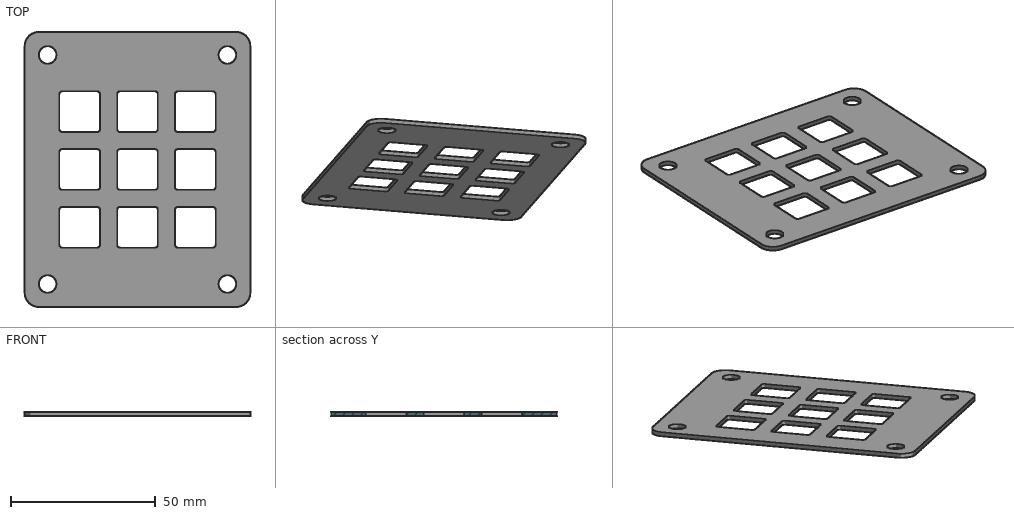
import cadquery as cq

plate_width = 78.0
plate_length = 95.0
plate_thickness = 1.5
plate_corner_radius = 5.0

hole_diameter = 6.0
hole_inset = 8.0

keys_per_side = 3
key_pitch = 19.95
key_opening = 14.0
key_corner_radius = 0.95


def make_plate():
    """Flat plate with rounded corners, resting on Z = 0."""
    plate = cq.Workplane("XY").box(
        plate_width, plate_length, plate_thickness, centered=(True, True, False)
    )
    return plate.edges("|Z").fillet(plate_corner_radius)


def make_mounting_holes():
    """Through-hole cutters at the four corners."""
    spacing_x = plate_width - 2 * hole_inset
    spacing_y = plate_length - 2 * hole_inset
    return (
        cq.Workplane("XY")
        .rect(spacing_x, spacing_y, forConstruction=True)
        .vertices()
        .circle(hole_diameter / 2)
        .extrude(plate_thickness)
    )


def make_key_openings():
    """Square through cutters with rounded corners."""
    openings = (
        cq.Workplane("XY")
        .rarray(key_pitch, key_pitch, keys_per_side, keys_per_side)
        .rect(key_opening, key_opening)
        .extrude(plate_thickness)
    )
    return openings.edges("|Z").fillet(key_corner_radius)


result = make_plate().cut(make_mounting_holes()).cut(make_key_openings())